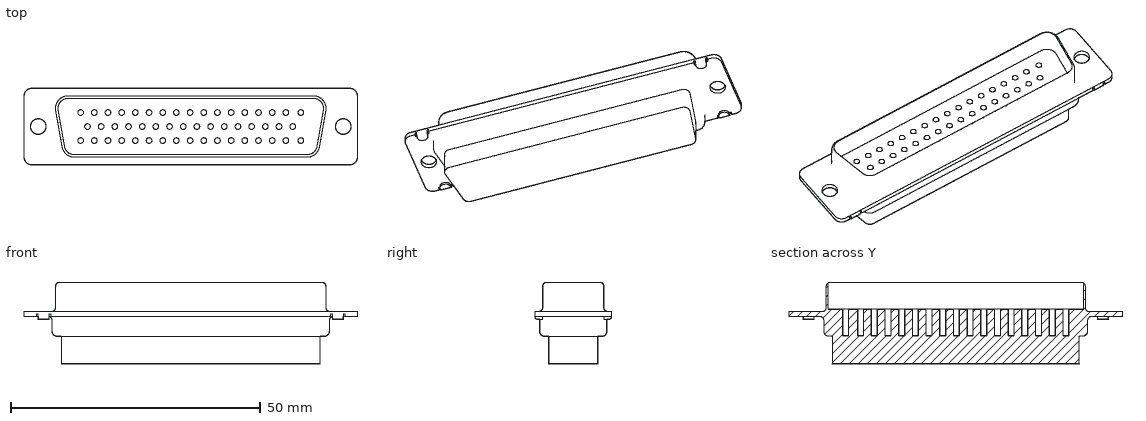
import cadquery as cq
import math

total_height = 16.3
block_height = 5.5
rear_shell_height = 3.95
sheet = 0.55
flange_thickness = 2 * sheet
flange_bottom = block_height + rear_shell_height
flange_top = flange_bottom + flange_thickness

flange_length = 66.9
flange_width = 15.4
flange_corner = 1.6
mount_hole_diameter = 3.1
mount_hole_x = 30.6

side_slant = 10
front_mid_width = 53.1
front_depth = 12.3
front_corner = 2.55
rear_mid_width = 54.0
rear_depth = 13.5
rear_corner = 1.9
block_mid_width = 50.6
block_depth = 9.9
block_corner = 1.3

wall = 0.5
lip_radius = 1.0
rear_edge_radius = 1.0
foot_radius = 0.75
cavity_depth = 5.35

rim_drop = lip_radius - math.sqrt(lip_radius**2 - (lip_radius - wall) ** 2)

contact_diameter = 1.15
contact_depth = 5.35
contact_pitch = 2.75
row_spacing = 2.8
outer_row_count = 17
middle_row_count = 16
first_outer_x = -22.1
first_middle_x = first_outer_x + contact_pitch / 2

tab_x = 29.5
tab_width = 2.2
tab_gap = 0.35
tab_reach = 1.55
tab_bend_radius = 0.6
tab_end_radius = 1.0


def d_prism(mid_width, depth, corner, bottom, height):
    """Trapezoidal prism with rounded corners, wider on the +Y side."""
    half_depth = depth / 2
    spread = half_depth * math.tan(math.radians(side_slant))
    wide = mid_width / 2 + spread
    narrow = mid_width / 2 - spread
    outline = [(-wide, half_depth), (wide, half_depth), (narrow, -half_depth), (-narrow, -half_depth)]
    prism = cq.Workplane("XY", origin=(0, 0, bottom)).polyline(outline).close().extrude(height)
    return prism.edges("|Z").fillet(corner)


def foot_edges(body, level, mid_width):
    """Edges of a shell outline lying on a flange face, without the flange's own rim."""
    reach_x = mid_width / 2 + rear_corner
    reach_y = flange_width / 2 - wall / 2
    low = (-reach_x, -reach_y, level - wall / 2)
    high = (reach_x, reach_y, level + wall / 2)
    return body.edges(cq.selectors.BoxSelector(low, high))


def make_shells():
    flange = (
        cq.Workplane("XY", origin=(0, 0, flange_bottom))
        .rect(flange_length, flange_width)
        .extrude(flange_thickness)
        .edges("|Z")
        .fillet(flange_corner)
    )
    front_height = total_height + rim_drop - flange_top
    front = d_prism(front_mid_width, front_depth, front_corner, flange_top, front_height)
    front = front.faces(">Z").edges().fillet(lip_radius)
    rear = d_prism(rear_mid_width, rear_depth, rear_corner, block_height, rear_shell_height)
    rear = rear.faces("<Z").edges().fillet(rear_edge_radius)

    body = flange.union(front).union(rear)
    body = foot_edges(body, flange_top, front_mid_width).fillet(foot_radius)
    return foot_edges(body, flange_bottom, rear_mid_width).fillet(foot_radius)


def make_cavity():
    wall_across_slant = wall / math.cos(math.radians(side_slant))
    return d_prism(
        front_mid_width - 2 * wall_across_slant,
        front_depth - 2 * wall,
        front_corner - wall,
        total_height - cavity_depth,
        cavity_depth + rim_drop,
    )


def make_contact_holes():
    outer_xs = [first_outer_x + i * contact_pitch for i in range(outer_row_count - 1)]
    outer_xs.append(-first_outer_x)
    middle_xs = [first_middle_x + i * contact_pitch for i in range(middle_row_count)]
    points = [(x, y) for y in (row_spacing, -row_spacing) for x in outer_xs]
    points += [(x, 0) for x in middle_xs]
    floor = total_height - cavity_depth
    return (
        cq.Workplane("XY", origin=(0, 0, floor))
        .pushPoints(points)
        .circle(contact_diameter / 2)
        .extrude(-contact_depth)
    )


def make_mount_holes():
    return (
        cq.Workplane("XY", origin=(0, 0, flange_bottom))
        .pushPoints([(-mount_hole_x, 0), (mount_hole_x, 0)])
        .circle(mount_hole_diameter / 2)
        .extrude(flange_thickness)
    )


def make_notch(side_x, side_y):
    """Recess in the lower sheet that lets a crimp tab pass at the flange edge."""
    width = tab_width + 2 * tab_gap
    y = side_y * (flange_width - sheet) / 2
    return cq.Workplane("XY", origin=(side_x * tab_x, y, flange_bottom)).rect(width, sheet).extrude(sheet)


def make_tab(side_x, side_y):
    """Tab bending down from the upper sheet and folded inwards below the flange."""
    center_y = side_y * (flange_width - tab_reach) / 2
    height = flange_top - (flange_bottom - sheet)
    outer_side, inner_side = (">Y", "<Y") if side_y > 0 else ("<Y", ">Y")
    blank = (
        cq.Workplane("XY", origin=(side_x * tab_x, center_y, flange_bottom - sheet))
        .rect(tab_width, tab_reach)
        .extrude(height)
    )
    rounded_end = blank.faces(inner_side).edges("|Z").fillet(tab_end_radius)
    rounded_bend = blank.faces(outer_side).edges("<Z").fillet(tab_bend_radius)
    return rounded_end.intersect(rounded_bend)


block = d_prism(block_mid_width, block_depth, block_corner, 0, block_height)
result = make_shells().union(block)
result = result.cut(make_cavity()).cut(make_contact_holes()).cut(make_mount_holes())
for side_x in (-1, 1):
    for side_y in (-1, 1):
        result = result.cut(make_notch(side_x, side_y)).union(make_tab(side_x, side_y))